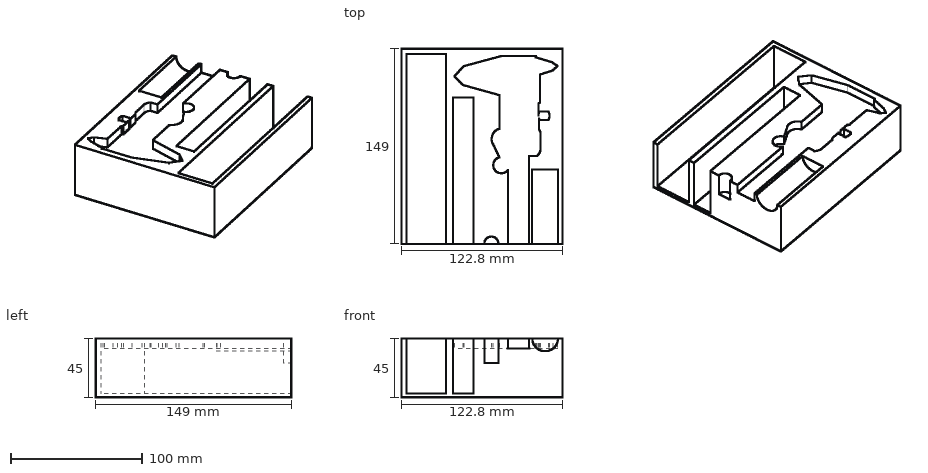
import cadquery as cq

width = 122.8
length = 149.0
height = 45.0

wall = 4.0
floor_thickness = 3.0
wide_compartment_width = 30.1
narrow_compartment_left = 39.2
narrow_compartment_width = 15.6
narrow_compartment_length = 111.9

pen_hole_x = 68.5
pen_hole_y = 0.5
pen_hole_radius = 5.4
pen_hole_depth = 18.6

trough_x = 109.5
trough_radius = 9.8
trough_length = 56.9

caliper_depth = 7.6
beam_left = 81.0
beam_right = 97.3
jaw_back = 143.3
body_left = 74.6
body_bottom = 67.2
body_right = 105.9
slide_right = 104.7
slide_step_right = 104.3
neck_right = 105.5

screw_left = 105.2
screw_right = 112.0
screw_y = 97.9
screw_half_width = 3.3
screw_bow = 0.7


def cut_down(sketch, depth):
    """Extrude a closed outline on the top face down into the block."""
    return sketch.extrude(-depth)


def top_plane():
    return cq.Workplane("XY").workplane(offset=height)


def compartment(left, compartment_width, compartment_length):
    outline = top_plane().moveTo(left, 0).rect(compartment_width, compartment_length, centered=False)
    return cut_down(outline, height - floor_thickness)


def pen_hole():
    outline = top_plane().center(pen_hole_x, pen_hole_y).circle(pen_hole_radius)
    return cut_down(outline, pen_hole_depth)


def trough():
    return (
        cq.Workplane("XZ")
        .center(trough_x, height)
        .circle(trough_radius)
        .extrude(-trough_length)
    )


def caliper_pocket():
    outline = (
        top_plane()
        .moveTo(beam_left, 0)
        .lineTo(beam_right, 0)
        .lineTo(beam_right, body_bottom)
        .lineTo(103.2, body_bottom)
        .threePointArc((105.2, 69.4), (body_right, 72.4))
        .lineTo(body_right, 85.4)
        .lineTo(slide_right, 87.6)
        .lineTo(slide_right, screw_y)
        .lineTo(slide_step_right, screw_y)
        .lineTo(slide_step_right, 107.0)
        .lineTo(neck_right, 107.7)
        .lineTo(neck_right, 129.2)
        .lineTo(115.3, 132.3)
        .lineTo(118.9, 135.7)
        .lineTo(114.7, 138.5)
        .lineTo(102.3, 142.3)
        .lineTo(102.6, jaw_back)
        .lineTo(76.3, jaw_back)
        .lineTo(47.5, 135.5)
        .lineTo(40.4, 127.8)
        .lineTo(46.8, 121.3)
        .lineTo(body_left, 113.5)
        .lineTo(body_left, 87.9)
        .threePointArc((69.4, 83.3), (70.2, 75.5))
        .lineTo(body_left, 66.1)
        .threePointArc((70.3, 58.1), (beam_left, 56.5))
        .close()
    )
    return cut_down(outline, caliper_depth)


def screw_pocket():
    front = screw_y - screw_half_width
    back = screw_y + screw_half_width
    outline = (
        top_plane()
        .moveTo(screw_left, front)
        .lineTo(screw_right, front)
        .threePointArc((screw_right + screw_bow, screw_y), (screw_right, back))
        .lineTo(screw_left, back)
        .threePointArc((screw_left - screw_bow, screw_y), (screw_left, front))
        .close()
    )
    return cut_down(outline, caliper_depth)


result = (
    cq.Workplane("XY")
    .box(width, length, height, centered=False)
    .cut(compartment(wall, wide_compartment_width, length - wall))
    .cut(compartment(narrow_compartment_left, narrow_compartment_width, narrow_compartment_length))
    .cut(pen_hole())
    .cut(trough())
    .cut(caliper_pocket())
    .cut(screw_pocket())
)